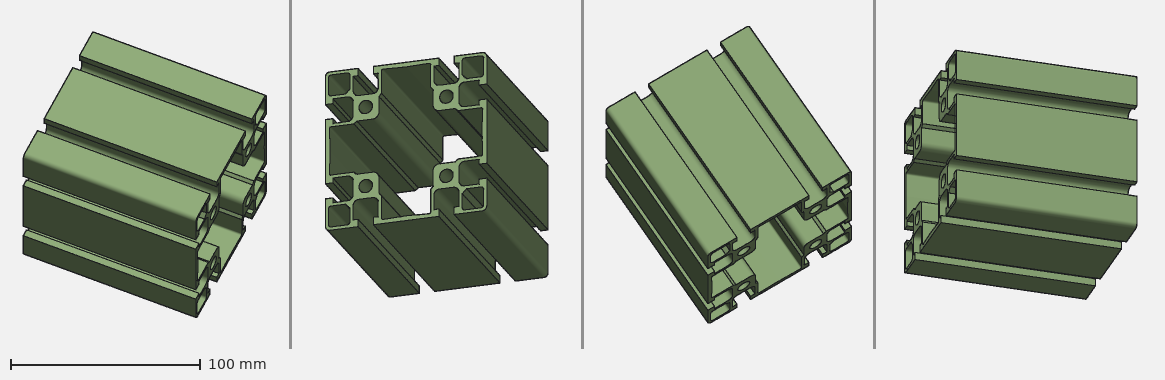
import cadquery as cq

length = 100.0
side = 90.0
half_side = side / 2
outer_radius = 2.5

core_offset = side / 4
core_hole_diameter = 7.5
slot_opening = 8.5
slot_width = 14.0
slot_depth = half_side - core_offset - slot_width / 2
slot_floor_radius = 3.2
lip_thickness = 4.2

wall = 1.8
tube_size = slot_depth - 2 * wall
tube_centre = half_side - slot_depth / 2
tube_radius = 1.5
tube_chamfer = 2.5

arm_half_width = core_offset - slot_width / 2 - wall
arm_end_wall = 2.25
ridge_wall = 2.7
arm_end = half_side - arm_end_wall
ridge_end = half_side - ridge_wall
arm_corner_radius = 1.0
core_half_width = 7.4
core_face = core_offset - core_half_width
core_corner_radius = 3.5
flare_depth = 15.9
flare_length = 1.7
flare_start = half_side - flare_depth
flare_end = flare_start - flare_length


def section():
    """Work plane of the cross-section: local x is Y, local y is Z."""
    return cq.Workplane("YZ").workplane(offset=-length / 2)


def box(y_size, z_size, y_centre=0.0, z_centre=0.0):
    """Full-length bar with the given section."""
    return section().center(y_centre, z_centre).rect(y_size, z_size).extrude(length)


def quarter_turns(body):
    """Four copies of a body around the X axis, fused together."""
    copies = body
    for turn in range(1, 4):
        copies = copies.union(body.rotate((0, 0, 0), (1, 0, 0), 90 * turn))
    return copies


def slots():
    """Both T-slots of all four faces."""
    opening = box(slot_opening, lip_thickness, 0, half_side - lip_thickness / 2)
    chamber_height = slot_depth - lip_thickness
    chamber_centre = half_side - lip_thickness - chamber_height / 2
    chamber = (
        box(slot_width, chamber_height, 0, chamber_centre)
        .edges("|X and <Z")
        .fillet(slot_floor_radius)
    )
    slot = opening.union(chamber)
    pair = slot.translate((0, -core_offset, 0)).union(slot.translate((0, core_offset, 0)))
    return quarter_turns(pair)


def corner_tubes():
    """Corner tube openings, chamfered where they face the cores."""
    rounded_edges = "(>Z and >Y) or (<Z and >Y) or (>Z and <Y)"
    tube = box(tube_size, tube_size).edges("|X").edges(rounded_edges).fillet(tube_radius)
    tube = tube.edges("|X and <Y and <Z").chamfer(tube_chamfer)
    return quarter_turns(tube.translate((0, tube_centre, tube_centre)))


def round_core_corners(body):
    """Round the four edges where neighbouring arms meet, next to the cores."""
    reach = 0.1
    low = core_face - reach
    high = core_face + reach
    for y_sign in (-1, 1):
        for z_sign in (-1, 1):
            near = (-length, y_sign * low, z_sign * low)
            far = (length, y_sign * high, z_sign * high)
            body = body.edges(cq.selectors.BoxSelector(near, far)).edges("|X").fillet(core_corner_radius)
    return body


def cavity():
    """Cross-shaped cavity: a square middle with four flared, ridged arms."""
    right_side = [
        (core_face, flare_end),
        (arm_half_width, flare_start),
        (arm_half_width, arm_end),
    ]
    left_side = [(-y, z) for y, z in reversed(right_side)]
    outline = [(0, 0), (core_face, core_face)] + right_side + [(0, ridge_end)]
    outline += left_side + [(-core_face, core_face)]
    arm = section().polyline(outline).close().extrude(length)
    arm = arm.edges("|X and (>(0,1,1) or >(0,-1,1))").fillet(arm_corner_radius)
    return round_core_corners(quarter_turns(arm))


def core_holes():
    """Through hole along each core."""
    return (
        section()
        .rect(2 * core_offset, 2 * core_offset, forConstruction=True)
        .vertices()
        .circle(core_hole_diameter / 2)
        .extrude(length)
    )


profile = box(side, side).edges("|X").fillet(outer_radius)
result = profile.cut(slots()).cut(corner_tubes()).cut(cavity()).cut(core_holes())